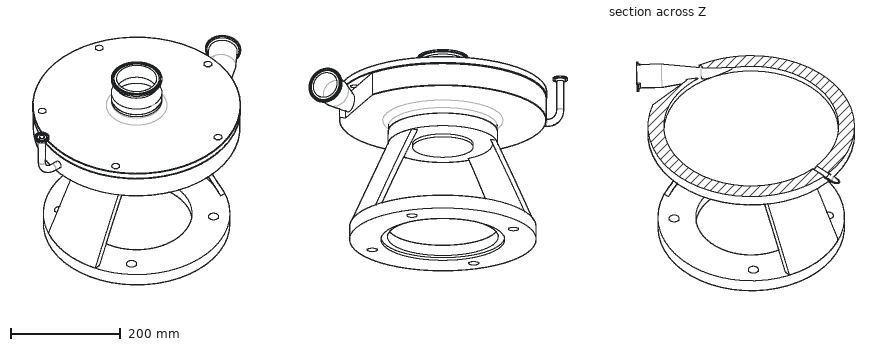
import cadquery as cq
import math

BASE_TOP = 25.0
DISC_BOTTOM = 179.0
SEAT_BOTTOM = 184.5
SEAT_TOP = 209.0
CASING_BOTTOM = 231.0
JOINT = 274.0
COVER_TOP = 286.5
INLET_TOP = 351.0

BASE_RADIUS = 170.0
BASE_BORE_RADIUS = 101.0
BASE_RECESS_RADIUS = 113.0
BASE_RECESS_DEPTH = 5.0
BASE_HOLE_COUNT = 4
BASE_HOLE_CIRCLE = 140.5
BASE_HOLE_RADIUS = 9.0

LEG_TOP_RADIUS = 99.5
LEG_BOTTOM_RADIUS = 169.5
LEG_THICKNESS = 9.0
LEG_TOP_HALF_WIDTH = 55.5
LEG_BOTTOM_HALF_WIDTH = 64.5

CASING_RADIUS = 188.5
NECK_RADIUS = 99.0
NECK_FILLET = 11.0
SEAT_RADIUS = 100.0
DISC_RADIUS = 55.5
EDGE_CHAMFER = 1.0
CHAMBER_RADIUS = 159.0

RELIEF_Y = 169.5
RELIEF_LEFT = -102.5
RELIEF_RIGHT = 53.5

COVER_RADIUS = 189.5
SCREW_COUNT = 5
SCREW_CIRCLE = 173.0
SCREW_RADIUS = 7.0

OUTLET_Z = 253.0
OUTLET_OFFSET = 144.5
OUTLET_ANGLE = 135
OUTLET_CONE_START = 87.0
OUTLET_CONE_END = 159.0
OUTLET_FACE = 204.5
OUTLET_THROAT_RADIUS = 14.5
OUTLET_RADIUS = 26.0
OUTLET_WALL = 2.5

INLET_RADIUS = 39.0
INLET_BELLY_RADIUS = 46.0
INLET_BORE_RADIUS = 36.5
INLET_BORE_BELLY_RADIUS = 42.0
INLET_FOOT_FILLET = 9.0
INLET_GROOVE_BOTTOM = 299.0
INLET_GROOVE_TOP = 304.0
INLET_GROOVE_DEPTH = 2.5
INLET_BELLY_TOP = 317.5
INLET_SHOULDER = 337.5
INLET_BORE_SHOULDER = 322.5
INLET_BULGE = 0.5

FERRULE_RIM = 3.0
FERRULE_TAPER = 3.0
OUTLET_FERRULE_RADIUS = 32.5
INLET_FERRULE_RADIUS = 46.0
DRAIN_FERRULE_RADIUS = 13.5
SEAL_GROOVE_WIDTH = 2.5
SEAL_GROOVE_DEPTH = 1.0

DRAIN_RADIUS = 6.5
DRAIN_BORE_RADIUS = 4.5
DRAIN_BEND_RADIUS = 28.5
DRAIN_Y = -229.5
DRAIN_Z = (CASING_BOTTOM + JOINT) / 2
DRAIN_TOP = 342.0


def cylinder(radius, bottom, top):
    return cq.Workplane("XY").workplane(offset=bottom).circle(radius).extrude(top - bottom)


def screw_holes():
    """Holes through the cover plate, one on the +Y side and the rest evenly spaced."""
    return (
        cq.Workplane("XY").workplane(offset=JOINT)
        .polarArray(SCREW_CIRCLE, 90, 360, SCREW_COUNT)
        .circle(SCREW_RADIUS).extrude(COVER_TOP - JOINT)
    )


def ferrule(face, pipe_radius, rim_radius):
    """Solid ferrule about Z whose sealing face, with its groove, is at Z = face."""
    rim_back = face - FERRULE_RIM
    taper_end = rim_back - FERRULE_TAPER
    middle = (pipe_radius + rim_radius) / 2
    groove_inner = middle - SEAL_GROOVE_WIDTH / 2
    groove_outer = middle + SEAL_GROOVE_WIDTH / 2
    groove_floor = face - SEAL_GROOVE_DEPTH
    return (
        cq.Workplane("XZ")
        .moveTo(0, taper_end)
        .lineTo(pipe_radius, taper_end)
        .lineTo(middle, rim_back)
        .lineTo(rim_radius, rim_back)
        .lineTo(rim_radius, face)
        .lineTo(groove_outer, face)
        .lineTo(groove_outer, groove_floor)
        .lineTo(groove_inner, groove_floor)
        .lineTo(groove_inner, face)
        .lineTo(0, face)
        .close()
        .revolve(360, (0, 0, 0), (0, 1, 0))
    )


def base_ring():
    ring = cylinder(BASE_RADIUS, 0, BASE_TOP).cut(cylinder(BASE_BORE_RADIUS, 0, BASE_TOP))
    holes = (
        cq.Workplane("XY")
        .polarArray(BASE_HOLE_CIRCLE, 45, 360, BASE_HOLE_COUNT)
        .circle(BASE_HOLE_RADIUS).extrude(BASE_TOP)
    )
    recess = cylinder(BASE_RECESS_RADIUS, 0, BASE_RECESS_DEPTH)
    return ring.cut(holes).cut(recess)


def legs():
    """Conical shell trimmed to a tapering width, which leaves one leg at +Y and one at -Y."""
    shell = (
        cq.Workplane("XZ")
        .moveTo(LEG_BOTTOM_RADIUS - LEG_THICKNESS, BASE_TOP)
        .lineTo(LEG_BOTTOM_RADIUS, BASE_TOP)
        .lineTo(LEG_TOP_RADIUS, SEAT_BOTTOM)
        .lineTo(LEG_TOP_RADIUS - LEG_THICKNESS, SEAT_BOTTOM)
        .close()
        .revolve(360, (0, 0, 0), (0, 1, 0))
    )
    width = (
        cq.Workplane("XZ")
        .moveTo(-LEG_BOTTOM_HALF_WIDTH, BASE_TOP)
        .lineTo(LEG_BOTTOM_HALF_WIDTH, BASE_TOP)
        .lineTo(LEG_TOP_HALF_WIDTH, SEAT_BOTTOM)
        .lineTo(-LEG_TOP_HALF_WIDTH, SEAT_BOTTOM)
        .close()
        .extrude(BASE_RADIUS, both=True)
    )
    return shell.intersect(width)


def casing_blank():
    """Turned casing: bottom disc, seat, filleted neck and drum."""
    fillet_bottom = CASING_BOTTOM - NECK_FILLET
    fillet_mid = NECK_FILLET * (1 - math.sqrt(0.5))
    return (
        cq.Workplane("XZ")
        .moveTo(0, DISC_BOTTOM)
        .lineTo(DISC_RADIUS, DISC_BOTTOM)
        .lineTo(DISC_RADIUS, SEAT_BOTTOM)
        .lineTo(SEAT_RADIUS, SEAT_BOTTOM)
        .lineTo(SEAT_RADIUS, SEAT_TOP)
        .lineTo(NECK_RADIUS, SEAT_TOP)
        .lineTo(NECK_RADIUS, fillet_bottom)
        .threePointArc(
            (NECK_RADIUS + fillet_mid, CASING_BOTTOM - fillet_mid),
            (NECK_RADIUS + NECK_FILLET, CASING_BOTTOM),
        )
        .lineTo(CASING_RADIUS - EDGE_CHAMFER, CASING_BOTTOM)
        .lineTo(CASING_RADIUS, CASING_BOTTOM + EDGE_CHAMFER)
        .lineTo(CASING_RADIUS, JOINT - EDGE_CHAMFER)
        .lineTo(CASING_RADIUS - EDGE_CHAMFER, JOINT)
        .lineTo(0, JOINT)
        .close()
        .revolve(360, (0, 0, 0), (0, 1, 0))
    )


def relief():
    """Flat notch, as high as the casing, that frees the screw hole beside the outlet."""
    return cq.Workplane("XY").box(
        RELIEF_RIGHT - RELIEF_LEFT, CASING_RADIUS, JOINT - CASING_BOTTOM, centered=False
    ).translate((RELIEF_LEFT, RELIEF_Y, CASING_BOTTOM))


def place_outlet(shape):
    """Turns a shape built along Z into the direction of the outlet, at its offset and height."""
    return (
        shape.rotate((0, 0, 0), (0, 1, 0), 90)
        .translate((0, -OUTLET_OFFSET, OUTLET_Z))
        .rotate((0, 0, 0), (0, 0, 1), OUTLET_ANGLE)
    )


def outlet_core(inset):
    """Throat, cone and pipe of the outlet, smaller than the outside by the inset."""
    return (
        cq.Workplane("XZ")
        .lineTo(OUTLET_THROAT_RADIUS - inset, 0)
        .lineTo(OUTLET_THROAT_RADIUS - inset, OUTLET_CONE_START)
        .lineTo(OUTLET_RADIUS - inset, OUTLET_CONE_END)
        .lineTo(OUTLET_RADIUS - inset, OUTLET_FACE)
        .lineTo(0, OUTLET_FACE)
        .close()
        .revolve(360, (0, 0, 0), (0, 1, 0))
    )


def outlet():
    pipe = outlet_core(0)
    flange = ferrule(OUTLET_FACE, OUTLET_RADIUS, OUTLET_FERRULE_RADIUS)
    trimmed = pipe.intersect(cylinder(OUTLET_RADIUS, 0, OUTLET_FACE - FERRULE_RIM))
    return place_outlet(trimmed.union(flange))


def chamber():
    """Round space inside the casing, open at the joint, with its floor level with the outlet's throat."""
    floor = OUTLET_Z - OUTLET_THROAT_RADIUS + OUTLET_WALL
    return cylinder(CHAMBER_RADIUS, floor, JOINT)


def drain_path():
    bend_y = DRAIN_Y + DRAIN_BEND_RADIUS
    bend_z = DRAIN_Z + DRAIN_BEND_RADIUS
    bend_mid = DRAIN_BEND_RADIUS * (1 - math.sqrt(0.5))
    return (
        cq.Workplane("YZ")
        .moveTo(-CHAMBER_RADIUS, DRAIN_Z)
        .lineTo(bend_y, DRAIN_Z)
        .threePointArc((DRAIN_Y + bend_mid, DRAIN_Z + bend_mid), (DRAIN_Y, bend_z))
        .lineTo(DRAIN_Y, DRAIN_TOP)
    )


def drain_sweep(radius):
    start = cq.Workplane("XZ", origin=(0, -CHAMBER_RADIUS, DRAIN_Z))
    return start.circle(radius).sweep(drain_path())


def drain():
    flange = ferrule(DRAIN_TOP, DRAIN_RADIUS, DRAIN_FERRULE_RADIUS).translate((0, DRAIN_Y, 0))
    return drain_sweep(DRAIN_RADIUS).union(flange)


def make_housing():
    """Casing with its outlet, drain, legs and base ring, welded into one solid."""
    body = casing_blank().cut(relief())
    body = body.union(outlet()).union(drain()).union(legs()).union(base_ring())
    body = body.cut(chamber()).cut(place_outlet(outlet_core(OUTLET_WALL)))
    return body.cut(drain_sweep(DRAIN_BORE_RADIUS))


def reducer(belly_radius, end_radius, shoulder):
    """Solid about Z that narrows from the belly to the end radius, which it reaches at the shoulder."""
    belly_top = shoulder - (INLET_SHOULDER - INLET_BELLY_TOP)
    side_mid = ((belly_radius + end_radius) / 2 + INLET_BULGE, (belly_top + shoulder) / 2)
    return (
        cq.Workplane("XZ")
        .moveTo(0, JOINT)
        .lineTo(belly_radius, JOINT)
        .lineTo(belly_radius, belly_top)
        .threePointArc(side_mid, (end_radius, shoulder))
        .lineTo(end_radius, INLET_TOP)
        .lineTo(0, INLET_TOP)
        .close()
        .revolve(360, (0, 0, 0), (0, 1, 0))
    )


def inlet_foot():
    """Concave flare that joins the inlet to the cover."""
    outer = INLET_BELLY_RADIUS + INLET_FOOT_FILLET
    mid = INLET_FOOT_FILLET * (1 - math.sqrt(0.5))
    return (
        cq.Workplane("XZ")
        .moveTo(0, COVER_TOP)
        .lineTo(outer, COVER_TOP)
        .threePointArc(
            (INLET_BELLY_RADIUS + mid, COVER_TOP + mid),
            (INLET_BELLY_RADIUS, COVER_TOP + INLET_FOOT_FILLET),
        )
        .lineTo(0, COVER_TOP + INLET_FOOT_FILLET)
        .close()
        .revolve(360, (0, 0, 0), (0, 1, 0))
    )


def inlet_groove():
    """V groove around the inlet."""
    return (
        cq.Workplane("XZ")
        .moveTo(INLET_BELLY_RADIUS, INLET_GROOVE_BOTTOM)
        .lineTo(INLET_BELLY_RADIUS, INLET_GROOVE_TOP)
        .lineTo(INLET_BELLY_RADIUS - INLET_GROOVE_DEPTH, (INLET_GROOVE_BOTTOM + INLET_GROOVE_TOP) / 2)
        .close()
        .revolve(360, (0, 0, 0), (0, 1, 0))
    )


def make_cover():
    """Cover plate with the inlet."""
    plate = cylinder(COVER_RADIUS, JOINT, COVER_TOP).edges().chamfer(EDGE_CHAMFER)
    neck = reducer(INLET_BELLY_RADIUS, INLET_RADIUS, INLET_SHOULDER)
    neck = neck.intersect(cylinder(COVER_RADIUS, JOINT, INLET_TOP - FERRULE_RIM))
    bore = reducer(INLET_BORE_BELLY_RADIUS, INLET_BORE_RADIUS, INLET_BORE_SHOULDER)
    body = plate.union(neck).union(inlet_foot())
    body = body.union(ferrule(INLET_TOP, INLET_RADIUS, INLET_FERRULE_RADIUS))
    body = body.cut(inlet_groove()).cut(bore)
    return body.cut(screw_holes())


housing = make_housing()
cover = make_cover()
result = cq.Compound.makeCompound([housing.solids().val(), cover.solids().val()])